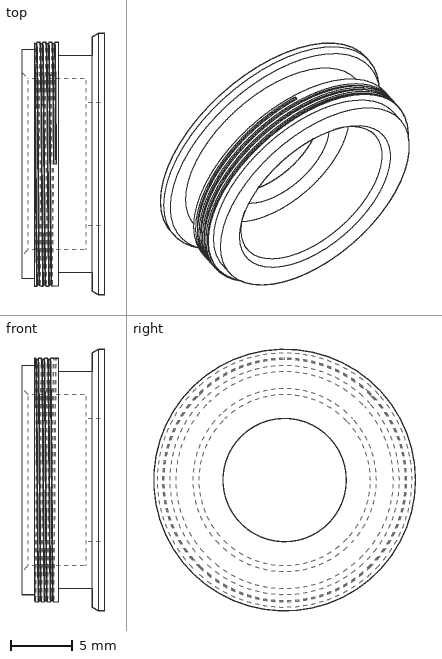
import cadquery as cq

length = 6.75
flange_diameter = 21.42
pilot_diameter = 18.76
thread_diameter = 19.96
neck_diameter = 17.78

pilot_length = 1.0
thread_end = 3.0
flange_rim_width = 0.5
flange_bevel_length = 0.51
flange_bevel_height = 0.3

bore_diameter = 14.0
bore_chamfer = 0.5
floor_thickness = 1.5
through_diameter = 10.07

pitch = 0.5
thread_turns = 4
groove_stop = 2.7
groove_width = 0.25
groove_root_width = 0.13
groove_depth = 0.1
groove_overcut = 0.05


def ring_body():
    """Revolve the half section of the ring about the X axis."""
    flange_radius = flange_diameter / 2
    bore_radius = bore_diameter / 2
    bevel_end = length - flange_rim_width
    flange_start = bevel_end - flange_bevel_length
    floor_start = length - floor_thickness
    section = [
        (0, bore_radius + bore_chamfer),
        (0, pilot_diameter / 2),
        (pilot_length, pilot_diameter / 2),
        (pilot_length, thread_diameter / 2),
        (thread_end, thread_diameter / 2),
        (thread_end, neck_diameter / 2),
        (flange_start, neck_diameter / 2),
        (flange_start, flange_radius - flange_bevel_height),
        (bevel_end, flange_radius),
        (length, flange_radius),
        (length, through_diameter / 2),
        (floor_start, through_diameter / 2),
        (floor_start, bore_radius),
        (bore_chamfer, bore_radius),
    ]
    return cq.Workplane("XY").polyline(section).close().revolve(360, (0, 0, 0), (1, 0, 0))


def thread_groove():
    """Sweep the trapezoidal groove section along a helix about the X axis."""
    crest_radius = thread_diameter / 2
    start = groove_stop - thread_turns * pitch
    root_radius = crest_radius - groove_depth
    outer_radius = crest_radius + groove_overcut
    flank_run = (groove_width - groove_root_width) / 2
    outer_half = groove_width / 2 + flank_run * groove_overcut / groove_depth
    root_half = groove_root_width / 2

    helix = cq.Wire.makeHelix(pitch, thread_turns * pitch, crest_radius)
    section = [
        (outer_radius, -outer_half),
        (root_radius, -root_half),
        (root_radius, root_half),
        (outer_radius, outer_half),
    ]
    groove = cq.Workplane("XZ").polyline(section).close().sweep(cq.Workplane(helix), isFrenet=True)
    groove = groove.rotate((0, 0, 0), (0, 1, 0), 90)
    groove = groove.rotate((0, 0, 0), (1, 0, 0), 180)
    return groove.translate((start, 0, 0))


result = ring_body().cut(thread_groove())